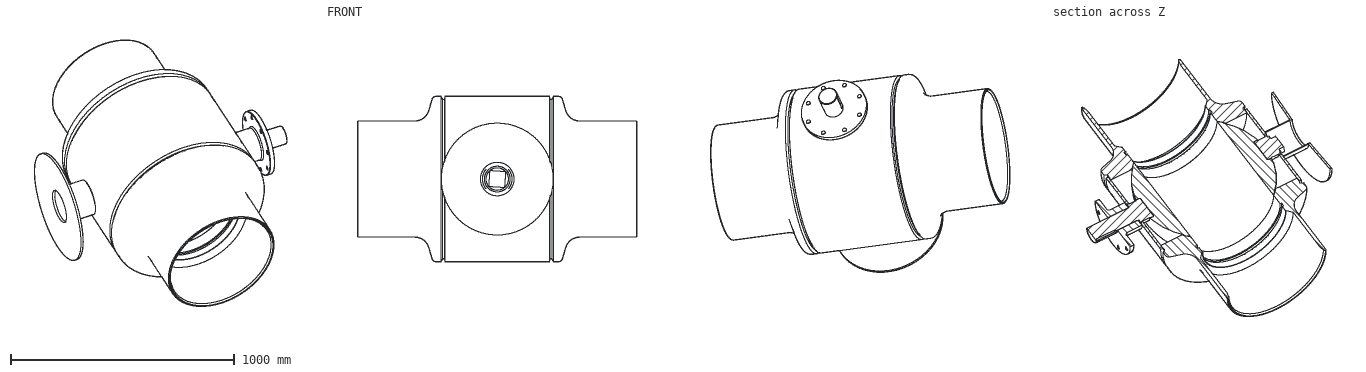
import cadquery as cq
import math


half_length = 625
casing_radius = 370.0
spigot_radius = 356.0
spigot_end = 212
shell_edge = 232.0
shell_lip = 236.0
end_lip = 244.0
end_edge = 251.0

shoulder_start = 272.0
shoulder_fillet = 20.0
neck_fillet = 64.0
pipe_start = 368.0
pipe_radius = 260.0
tip_chamfer = 4.0

tip_face_radius = 252.0
tip_bevel_depth = 9.0
tip_bore_radius = 248.0
tip_taper_depth = 34.0
pipe_bore_radius = 242.0
throat_radius = 220.0
throat_start = 344.0
flow_radius = 218.0
relief_radius = 225
relief_start = 312
relief_end = 298.0

ball_radius = 325
ball_socket_floor = 300

opening_cut_height = casing_radius + 12
hub_radius = 58.0
spotface_radius = 66.0
spotface_height = 368.0

stem_radius = 42.0
stem_top = 590.0
stem_chamfer = 2.0
keyway_width = 24.0
keyway_length = 99.0
keyway_depth = 9.0
keyway_end_gap = 6.0

neck_radius = 75
flange_radius = 150
flange_bottom = 456.0
flange_top = 479.0
flange_chamfer = 2.0
weld_width = 5.0
weld_height = 8.0
bolt_count = 8
bolt_circle_radius = 128.0
bolt_hole_radius = 9.0

plug_boss_radius = 50
plug_boss_height = 6.0
plug_square_side = 71.0
plug_square_height = 25
plug_square_turn = 4

foot_pipe_radius = 81.0
foot_bore_radius = 75
foot_plate_radius = 250
foot_plate_bottom = 519.0
foot_rim_thickness = 11.0
foot_dish = 9.0
foot_seat = foot_plate_bottom - foot_rim_thickness - foot_dish


def disc_along_y(radius, start, end):
    """Cylinder on the Y axis between two Y positions."""
    return cq.Workplane("XZ", origin=(0, start, 0)).circle(radius).extrude(start - end)


def make_shell():
    """Middle tube with bevelled ends and a spot-faced hole on the +Y and -Y sides."""
    shell = (
        cq.Workplane("XY")
        .moveTo(-shell_lip, spigot_radius)
        .lineTo(-shell_edge, casing_radius)
        .lineTo(shell_edge, casing_radius)
        .lineTo(shell_lip, spigot_radius)
        .close()
        .revolve(360, (0, 0, 0), (1, 0, 0))
    )
    for side in (1, -1):
        shell = shell.cut(disc_along_y(hub_radius, 0, side * opening_cut_height))
        spotface = disc_along_y(spotface_radius, side * spotface_height, side * opening_cut_height)
        shell = shell.cut(spotface)
    return shell


def shoulder_angle():
    """Angle to the X axis of the cone that is tangent to the shoulder and neck fillets."""
    along = pipe_start - shoulder_start
    radii = shoulder_fillet + neck_fillet
    rise = casing_radius - pipe_radius - radii
    return math.asin(radii / math.hypot(along, rise)) + math.atan2(rise, along)


def make_end():
    """Reducing end piece on the -X side, revolved about the flow axis."""
    tilt = shoulder_angle()

    def on_shoulder(angle):
        x = -shoulder_start - shoulder_fillet * math.sin(angle)
        return x, casing_radius - shoulder_fillet * (1 - math.cos(angle))

    def on_neck(angle):
        x = -pipe_start + neck_fillet * math.sin(angle)
        return x, pipe_radius + neck_fillet * (1 - math.cos(angle))

    def on_ball(radius):
        return -math.sqrt(ball_radius**2 - radius**2), radius

    seat_outer_radius = math.sqrt(ball_radius**2 - spigot_end**2)
    seat_middle_radius = (seat_outer_radius + flow_radius) / 2
    return (
        cq.Workplane("XY")
        .moveTo(-spigot_end, spigot_radius)
        .lineTo(-end_lip, spigot_radius)
        .lineTo(-end_edge, casing_radius)
        .lineTo(-shoulder_start, casing_radius)
        .threePointArc(on_shoulder(tilt / 2), on_shoulder(tilt))
        .lineTo(*on_neck(tilt))
        .threePointArc(on_neck(tilt / 2), on_neck(0))
        .lineTo(-half_length + tip_chamfer, pipe_radius)
        .lineTo(-half_length, pipe_radius - tip_chamfer)
        .lineTo(-half_length, tip_face_radius)
        .lineTo(-half_length + tip_bevel_depth, tip_bore_radius)
        .lineTo(-half_length + tip_taper_depth, pipe_bore_radius)
        .lineTo(-pipe_start, pipe_bore_radius)
        .lineTo(-throat_start, throat_radius)
        .lineTo(-throat_start, flow_radius)
        .lineTo(-relief_start, flow_radius)
        .lineTo(-relief_start, relief_radius)
        .lineTo(-relief_end, relief_radius)
        .lineTo(-relief_end, flow_radius)
        .lineTo(*on_ball(flow_radius))
        .threePointArc(on_ball(seat_middle_radius), on_ball(seat_outer_radius))
        .close()
        .revolve(360, (0, 0, 0), (1, 0, 0))
    )


def make_ball():
    """Ball with the flow bore and a round socket for the stem and for the plug."""
    ball = cq.Workplane("XY").sphere(ball_radius)
    ball = ball.cut(cq.Workplane("YZ").circle(flow_radius).extrude(ball_radius, both=True))
    for side in (1, -1):
        ball = ball.cut(disc_along_y(hub_radius, side * ball_socket_floor, side * ball_radius))
    return ball


def make_stem():
    """Stepped stem with a round-ended keyway on its -X side."""
    hub = disc_along_y(hub_radius, ball_socket_floor, spotface_height)
    shaft = disc_along_y(stem_radius, spotface_height, stem_top).faces(">Y").chamfer(stem_chamfer)
    keyway_middle = stem_top - keyway_end_gap - keyway_length / 2
    keyway = (
        cq.Workplane("YZ", origin=(-stem_radius + keyway_depth, keyway_middle, 0))
        .slot2D(keyway_length, keyway_width)
        .extrude(-stem_radius)
    )
    return hub.union(shaft).cut(keyway)


def make_mounting_flange():
    """Actuator flange on a neck that stands on the shell, bored for the stem."""
    flange = (
        cq.Workplane("XY")
        .moveTo(stem_radius, casing_radius)
        .lineTo(neck_radius, casing_radius)
        .lineTo(neck_radius, flange_bottom - weld_height)
        .lineTo(neck_radius + weld_width, flange_bottom)
        .lineTo(flange_radius - flange_chamfer, flange_bottom)
        .lineTo(flange_radius, flange_bottom + flange_chamfer)
        .lineTo(flange_radius, flange_top)
        .lineTo(stem_radius, flange_top)
        .close()
        .revolve(360, (0, 0, 0), (0, 1, 0))
    )
    bolt_holes = (
        cq.Workplane("XZ", origin=(0, flange_top, 0))
        .polarArray(bolt_circle_radius, 180 / bolt_count, 360, bolt_count)
        .circle(bolt_hole_radius)
        .extrude(flange_top - flange_bottom)
    )
    return flange.cut(bolt_holes)


def make_trunnion_plug():
    """Plug opposite the stem, with a low round boss and a square with rounded corners."""
    boss_top = spotface_height + plug_boss_height
    square_top = boss_top + plug_square_height
    hub = disc_along_y(hub_radius, -ball_socket_floor, -spotface_height)
    boss = disc_along_y(plug_boss_radius, -spotface_height, -boss_top)
    square = (
        cq.Workplane("XZ", origin=(0, -boss_top, 0))
        .transformed(rotate=(0, 0, -plug_square_turn))
        .rect(plug_square_side, plug_square_side)
        .extrude(plug_square_height)
        .intersect(disc_along_y(plug_boss_radius, -boss_top, -square_top))
    )
    return hub.union(boss).union(square)


def make_foot_pipe():
    """Tube between the shell and the foot plate."""
    pipe = disc_along_y(foot_pipe_radius, -casing_radius, -foot_seat)
    return pipe.cut(disc_along_y(foot_bore_radius, -casing_radius, -foot_seat))


def make_foot_plate():
    """Dished round plate with a flat seat for the foot pipe."""
    return (
        cq.Workplane("XY")
        .moveTo(foot_bore_radius, -foot_seat)
        .lineTo(foot_pipe_radius, -foot_seat)
        .lineTo(foot_plate_radius, -foot_plate_bottom + foot_rim_thickness)
        .lineTo(foot_plate_radius, -foot_plate_bottom)
        .lineTo(foot_bore_radius, -foot_plate_bottom + foot_dish)
        .close()
        .revolve(360, (0, 0, 0), (0, 1, 0))
    )


shell = make_shell()
ends = [make_end().rotate((0, 0, 0), (0, 0, 1), turn) for turn in (0, 180)]
ball = make_ball()
stem = make_stem()
mounting_flange = make_mounting_flange()
trunnion_plug = make_trunnion_plug()
foot_pipe = make_foot_pipe()
foot_plate = make_foot_plate()

result = cq.Compound.makeCompound([
    shell.val(),
    *[end.val() for end in ends],
    ball.val(),
    stem.val(),
    mounting_flange.val(),
    trunnion_plug.val(),
    foot_pipe.val(),
    foot_plate.val(),
])